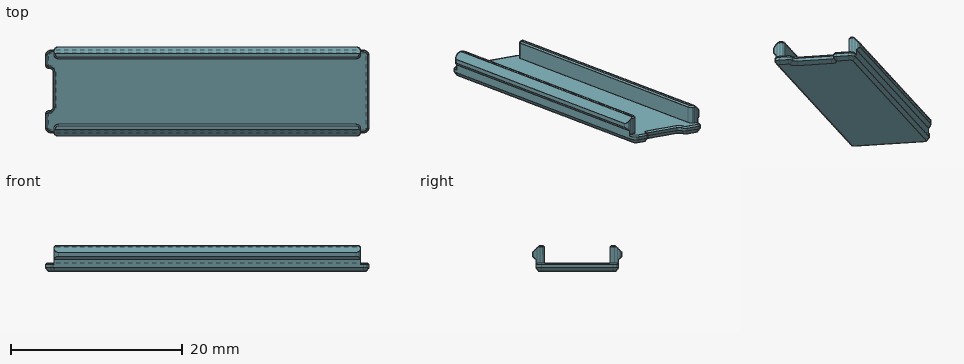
import cadquery as cq

length = 37.7
base_width = 9.65
base_top = 0.98
bottom_chamfer_height = 0.45
bottom_chamfer_width = 0.35
top_chamfer = 0.2
corner_radius = 0.68

notch_depth = 0.9
notch_width = 4.9
notch_offset = 0.23
tab_radius = 0.45
notch_radius = 0.4

overall_width = 10.4
overall_height = 3.0
rail_end_gap = 0.98
rail_inner_y = 3.8
rail_radius = 0.53
rail_top_chamfer = 0.2
hook_low_z = 1.77
hook_high_z = 2.22

base_y = base_width / 2
hook_y = overall_width / 2
hook_reach = hook_y - base_y
rail_length = length - 2 * rail_end_gap


def base_plate():
    """Plate with rounded corners, a notched end and chamfered rims."""
    plate = cq.Workplane("XY").box(length, base_width, base_top, centered=(True, True, False))
    plate = plate.edges("|Z").fillet(corner_radius)
    notch = (
        cq.Workplane("XY")
        .center(-length / 2, notch_offset)
        .rect(2 * notch_depth, notch_width)
        .extrude(base_top)
    )
    plate = plate.cut(notch)

    reach = 0.05

    def notch_corners(x):
        return cq.selectors.BoxSelector(
            (x - reach, notch_offset - notch_width / 2 - reach, 0),
            (x + reach, notch_offset + notch_width / 2 + reach, base_top),
        )

    end_x = -length / 2
    plate = plate.edges("|Z").edges(notch_corners(end_x)).fillet(tab_radius)
    plate = plate.edges("|Z").edges(notch_corners(end_x + notch_depth)).fillet(notch_radius)
    plate = plate.faces(">Z").edges().chamfer(top_chamfer)
    return plate.faces("<Z").chamfer(bottom_chamfer_height, bottom_chamfer_width)


def snap_rail():
    """Rail on the +Y side: a rounded bar trimmed to the hooked cross-section."""
    bar = (
        cq.Workplane("XY", origin=(0, (rail_inner_y + hook_y) / 2, bottom_chamfer_height))
        .rect(rail_length, hook_y - rail_inner_y)
        .extrude(overall_height - bottom_chamfer_height)
        .edges("|Z")
        .fillet(rail_radius)
        .faces(">Z")
        .chamfer(rail_top_chamfer)
    )
    section = (
        cq.Workplane("YZ")
        .moveTo(rail_inner_y, bottom_chamfer_height)
        .lineTo(base_y, bottom_chamfer_height)
        .lineTo(base_y, hook_low_z - hook_reach)
        .lineTo(hook_y, hook_low_z)
        .lineTo(hook_y, hook_high_z)
        .lineTo(hook_y - (overall_height - hook_high_z), overall_height)
        .lineTo(rail_inner_y, overall_height)
        .close()
        .extrude(rail_length / 2, both=True)
    )
    return bar.intersect(section)


rail = snap_rail()
result = base_plate().union(rail).union(rail.mirror("XZ"))